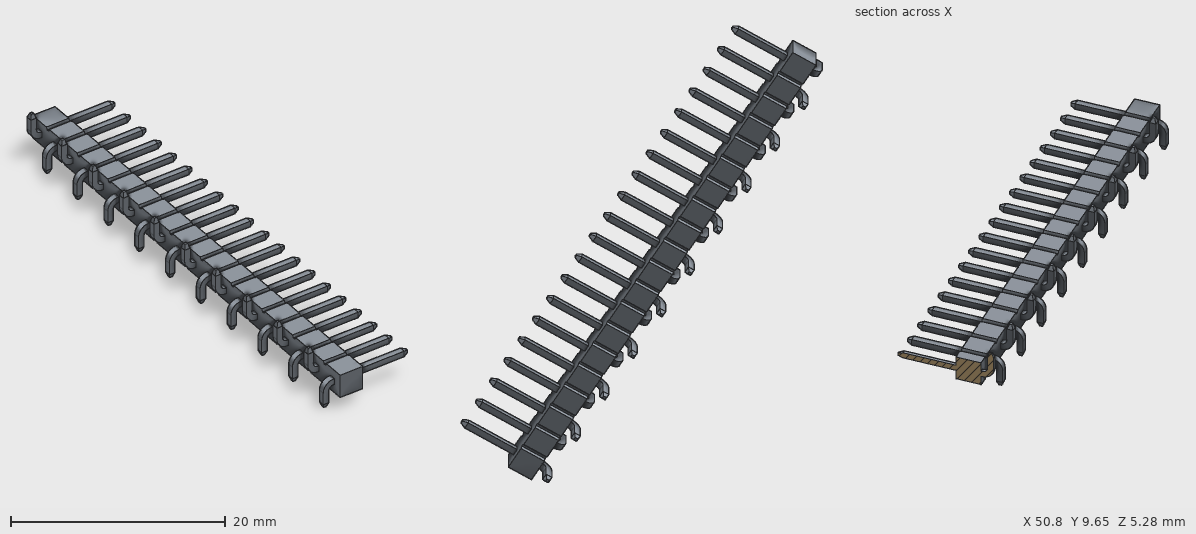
import cadquery as cq


PIN_COUNT = 20
PITCH = 2.54
HOUSING_SIZE = 2.54
NOTCH_WIDTH = 0.5
NOTCH_FLOOR_WIDTH = 0.2
NOTCH_DEPTH = 0.25

PIN_WIDTH = 0.64
CONTACT_LENGTH = 5.84
TAIL_REACH = 1.27
TAIL_HEIGHT = 2.64
BEND_INNER_RADIUS = 0.5
TAPER_LENGTH = 0.5
TIP_WIDTH = 0.28

row_length = PIN_COUNT * PITCH
half_housing = HOUSING_SIZE / 2
half_pin = PIN_WIDTH / 2
bend_radius = BEND_INNER_RADIUS + half_pin
tail_axis_y = -half_housing - TAIL_REACH + half_pin


def make_notch(x, side):
    """Trapezoidal groove along Y between two positions; side is +1 for top, -1 for bottom."""
    surface_z = side * half_housing
    floor_z = side * (half_housing - NOTCH_DEPTH)
    return (
        cq.Workplane("XZ")
        .polyline([
            (x - NOTCH_WIDTH / 2, surface_z),
            (x + NOTCH_WIDTH / 2, surface_z),
            (x + NOTCH_FLOOR_WIDTH / 2, floor_z),
            (x - NOTCH_FLOOR_WIDTH / 2, floor_z),
        ])
        .close()
        .extrude(half_housing, both=True)
    )


def make_housing():
    """Square bar, notched top and bottom between neighbouring pins."""
    housing = cq.Workplane("XY").box(row_length, HOUSING_SIZE, HOUSING_SIZE)
    for gap in range(1, PIN_COUNT):
        x = gap * PITCH - row_length / 2
        for side in (1, -1):
            housing = housing.cut(make_notch(x, side))
    return housing


def make_tip(plane, base):
    """Square taper from the full pin section at base down to the tip width."""
    return (
        cq.Workplane(plane, origin=base)
        .rect(PIN_WIDTH, PIN_WIDTH)
        .workplane(offset=TAPER_LENGTH)
        .rect(TIP_WIDTH, TIP_WIDTH)
        .loft(ruled=True)
    )


def make_pin():
    """Pin on the X origin with its tail bent upward."""
    contact_base_y = half_housing + CONTACT_LENGTH - TAPER_LENGTH
    tail_base_z = TAIL_HEIGHT - TAPER_LENGTH
    bend_start_y = tail_axis_y + bend_radius
    axis = (
        cq.Workplane("YZ")
        .moveTo(contact_base_y, 0)
        .lineTo(bend_start_y, 0)
        .radiusArc((tail_axis_y, bend_radius), bend_radius)
        .lineTo(tail_axis_y, tail_base_z)
    )
    shank = cq.Workplane("XZ", origin=(0, contact_base_y, 0)).rect(PIN_WIDTH, PIN_WIDTH).sweep(axis)
    contact_tip = make_tip("ZX", (0, contact_base_y, 0))
    tail_tip = make_tip("XY", (0, tail_axis_y, tail_base_z))
    return shank.union(contact_tip).union(tail_tip)


def make_header():
    """Housing with a pin at every position, first tail up, then alternating."""
    tail_up_pin = make_pin()
    tail_down_pin = tail_up_pin.mirror("XY")
    header = make_housing()
    for position in range(PIN_COUNT):
        x = (position + 0.5) * PITCH - row_length / 2
        pin = tail_up_pin if position % 2 == 0 else tail_down_pin
        header = header.union(pin.translate((x, 0, 0)))
    return header


result = make_header()